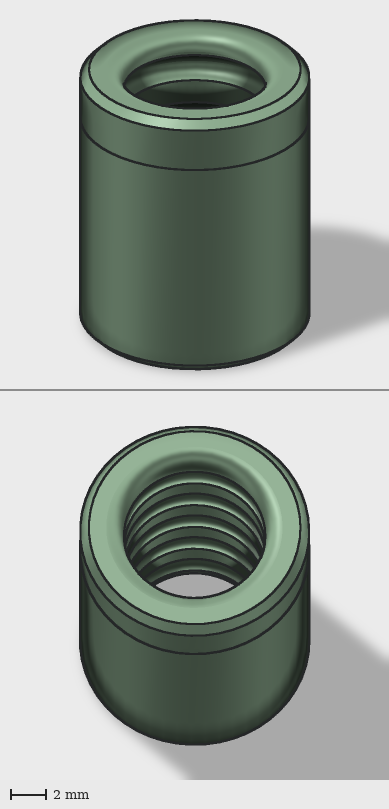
import cadquery as cq

height = 16.0
body_radius = 6.5
collar_radius = 6.48
collar_height = 3.0
chamfer = 0.5

bore_radius = 4.0
bore_lip_radius = 1.0

groove_radius = 0.8
groove_pitch = 3.0
groove_count = 5


def make_sleeve():
    """Chamfered sleeve with a slightly slimmer collar at the top."""
    body = cq.Workplane("XY").circle(body_radius).extrude(height - collar_height)
    body = body.faces("<Z").chamfer(chamfer)
    collar = cq.Workplane("XY", origin=(0, 0, height - collar_height))
    collar = collar.circle(collar_radius).extrude(collar_height).faces(">Z").chamfer(chamfer)
    return body.union(collar)


def cut_bore(part):
    """Through bore with rounded mouths at both ends."""
    part = part.cut(cq.Workplane("XY").circle(bore_radius).extrude(height))
    mouths = part.edges(cq.selectors.RadiusNthSelector(0))
    return mouths.fillet(bore_lip_radius)


def cut_grooves(part):
    """Ring grooves of round section, centred on the bore wall."""
    for index in range(groove_count):
        offset = (index - (groove_count - 1) / 2) * groove_pitch
        ring = cq.Solid.makeTorus(bore_radius, groove_radius, cq.Vector(0, 0, height / 2 + offset))
        part = part.cut(cq.Workplane(ring))
    return part


result = cut_grooves(cut_bore(make_sleeve()))